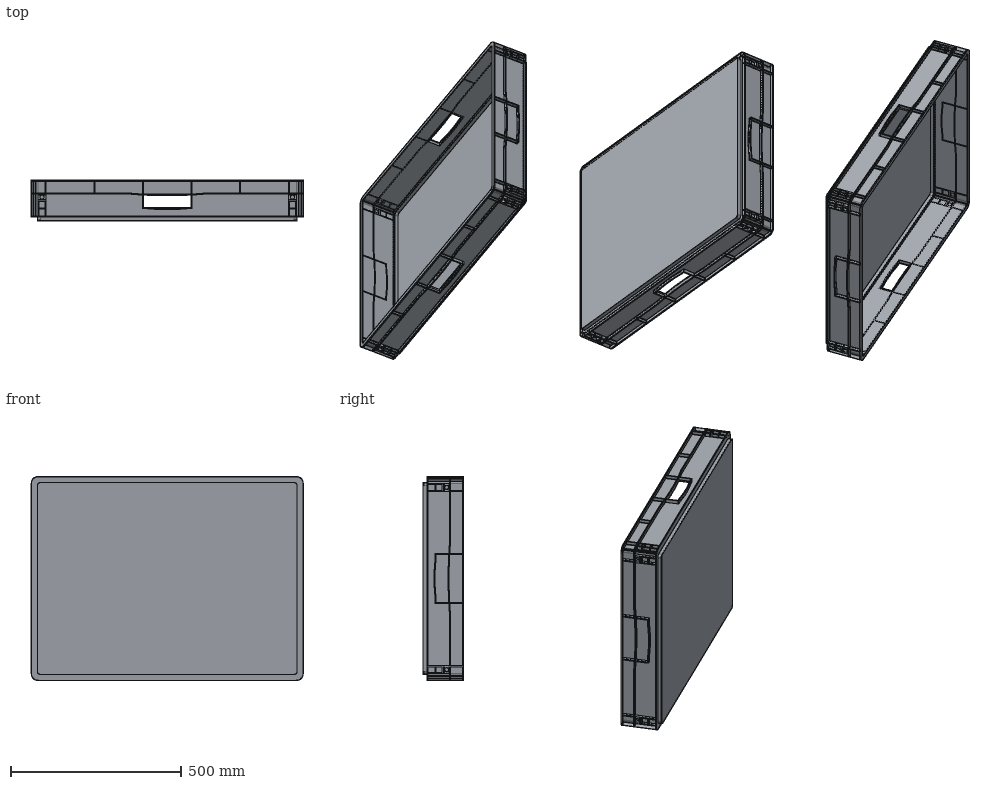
import cadquery as cq
import math


LENGTH = 800.0
HEIGHT = 600.0
DEPTH = 120.0

RIB = 3.0
RIM = 4.0
OUTER_CORNER_RADIUS = 20.0
BASE_FLANGE_Y = 12.0
MID_FLANGE_Y = 79.0
BASE_FLANGE_TOP = BASE_FLANGE_Y + RIB
MID_FLANGE_TOP = MID_FLANGE_Y + RIB

WALL_INSET = 10.0
WALL = 3.0
SIDE_DEPTH = WALL_INSET + WALL
FOOT_INSET = 18.0
FOOT_CORNER_RADIUS = 9.0

BLOCK_WIDTH = 23.5
LATCH_HOLE_DIAMETER = 12.0
LATCH_HOLE_Y = 70.0
POCKET_RANGES = ((BASE_FLANGE_TOP, 35.5), (38.5, 56.5), (61.0, 63.5), (76.5, MID_FLANGE_Y))

RIB_SPACING = 143.0
HANDLE_HALF_WIDTH = RIB_SPACING / 2
HANDLE_BAR_Y = 36.0
HANDLE_BAR_SAG = 3.3
HANDLE_BAR_BEND_HALF_LENGTH = 60.0
FLANGE_BEND_HALF_LENGTH = 112.0
FLANGE_SAG = 5.0


def tub_slab(offset, radius, y_start, y_end):
    """Round-cornered slab from y_start to y_end, its sides offset inside the outer edge."""
    slab = cq.Workplane("XY").box(LENGTH - 2 * offset, y_end - y_start, HEIGHT - 2 * offset)
    slab = slab.edges("|Y").fillet(radius)
    return slab.translate((0, (y_start + y_end) / 2, 0))


def side_box(u_start, u_end, y_start, y_end, depth=SIDE_DEPTH):
    """Box on a side lying at Z = 0: u runs along X and the depth goes inward."""
    width = u_end - u_start
    tall = y_end - y_start
    box = cq.Workplane("XY").box(width, tall, depth, centered=False)
    return box.translate((u_start, y_start, -depth))


def sagging_strip(half_length, bend_half_length, y_start, sag):
    """Strip one rib thick whose middle bends toward the base in an arc."""
    y_end = y_start + RIB
    return (
        cq.Workplane("XY")
        .moveTo(-half_length, y_start)
        .lineTo(-bend_half_length, y_start)
        .threePointArc((0, y_start - sag), (bend_half_length, y_start))
        .lineTo(half_length, y_start)
        .lineTo(half_length, y_end)
        .lineTo(bend_half_length, y_end)
        .threePointArc((0, y_end - sag), (-bend_half_length, y_end))
        .lineTo(-half_length, y_end)
        .close()
        .extrude(-SIDE_DEPTH)
    )


def upright_rib(u_center, y_start):
    """Rib running from y_start up to the rim."""
    return side_box(u_center - RIB / 2, u_center + RIB / 2, y_start, DEPTH)


def latch_block(half_length):
    """Block beside the +u corner with a round latch hole and a column of pockets."""
    u_end = half_length - OUTER_CORNER_RADIUS
    u_start = u_end - BLOCK_WIDTH
    block = side_box(u_start, u_end, BASE_FLANGE_TOP, MID_FLANGE_TOP)
    for y_start, y_end in POCKET_RANGES:
        block = block.cut(side_box(u_start + RIB, u_end - RIB, y_start, y_end, WALL_INSET))
    hole = (
        cq.Workplane("XY")
        .center((u_start + u_end) / 2, LATCH_HOLE_Y)
        .circle(LATCH_HOLE_DIAMETER / 2)
        .extrude(-WALL_INSET)
    )
    return block.cut(hole).union(upright_rib(u_start + RIB / 2, MID_FLANGE_Y))


def side_frame(side_length, has_middle_ribs):
    """Bent flange, handle frame, ribs and latch blocks of one side."""
    half_length = side_length / 2
    frame = sagging_strip(half_length, FLANGE_BEND_HALF_LENGTH, MID_FLANGE_Y, FLANGE_SAG)
    bar = sagging_strip(HANDLE_HALF_WIDTH, HANDLE_BAR_BEND_HALF_LENGTH, HANDLE_BAR_Y, HANDLE_BAR_SAG)
    frame = frame.union(bar)
    block = latch_block(half_length)
    frame = frame.union(block).union(block.mirror("YZ"))
    for direction in (-1, 1):
        frame = frame.union(upright_rib(direction * HANDLE_HALF_WIDTH, HANDLE_BAR_Y))
        if has_middle_ribs:
            middle_u = direction * (HANDLE_HALF_WIDTH + RIB_SPACING)
            frame = frame.union(upright_rib(middle_u, MID_FLANGE_Y))
    return frame


def corner_web(x_sign, z_sign):
    """Diagonal web from the wall corner out to the rounded outline."""
    x = x_sign * (LENGTH / 2 - OUTER_CORNER_RADIUS)
    z = z_sign * (HEIGHT / 2 - OUTER_CORNER_RADIUS)
    web = side_box(0, OUTER_CORNER_RADIUS + RIB, BASE_FLANGE_TOP, DEPTH, RIB).translate((0, 0, RIB / 2))
    outward_angle = math.degrees(math.atan2(-z_sign, x_sign))
    return web.rotate((0, 0, 0), (0, 1, 0), outward_angle).translate((x, 0, z))


def place_side(frame, angle, distance):
    """Move a side frame out from the centre and turn it about Y."""
    return frame.translate((0, 0, distance)).rotate((0, 0, 0), (0, 1, 0), angle)


envelope = tub_slab(0, OUTER_CORNER_RADIUS, 0, DEPTH)
cavity = tub_slab(SIDE_DEPTH, OUTER_CORNER_RADIUS - SIDE_DEPTH, BASE_FLANGE_TOP, DEPTH)
foot_cavity = tub_slab(FOOT_INSET + WALL, FOOT_CORNER_RADIUS - WALL, WALL, BASE_FLANGE_TOP)

body = tub_slab(WALL_INSET, OUTER_CORNER_RADIUS - WALL_INSET, BASE_FLANGE_TOP, DEPTH)
hand_opening = side_box(-HANDLE_HALF_WIDTH, HANDLE_HALF_WIDTH, HANDLE_BAR_Y + RIB, MID_FLANGE_Y, HEIGHT)
body = body.cut(hand_opening.translate((0, 0, HEIGHT / 2)))

body = body.union(tub_slab(0, OUTER_CORNER_RADIUS, BASE_FLANGE_Y, BASE_FLANGE_TOP))
body = body.union(tub_slab(0, OUTER_CORNER_RADIUS, DEPTH - RIM, DEPTH))
body = body.union(tub_slab(FOOT_INSET, FOOT_CORNER_RADIUS, 0, BASE_FLANGE_TOP))

long_frame = side_frame(LENGTH, True)
short_frame = side_frame(HEIGHT, False)
frames = place_side(long_frame, 0, HEIGHT / 2).union(place_side(long_frame, 180, HEIGHT / 2))
for angle in (90, 270):
    frames = frames.union(place_side(short_frame, angle, LENGTH / 2))
for x_sign in (-1, 1):
    for z_sign in (-1, 1):
        frames = frames.union(corner_web(x_sign, z_sign))
frames = frames.intersect(envelope)

result = body.union(frames).cut(cavity).cut(foot_cavity)